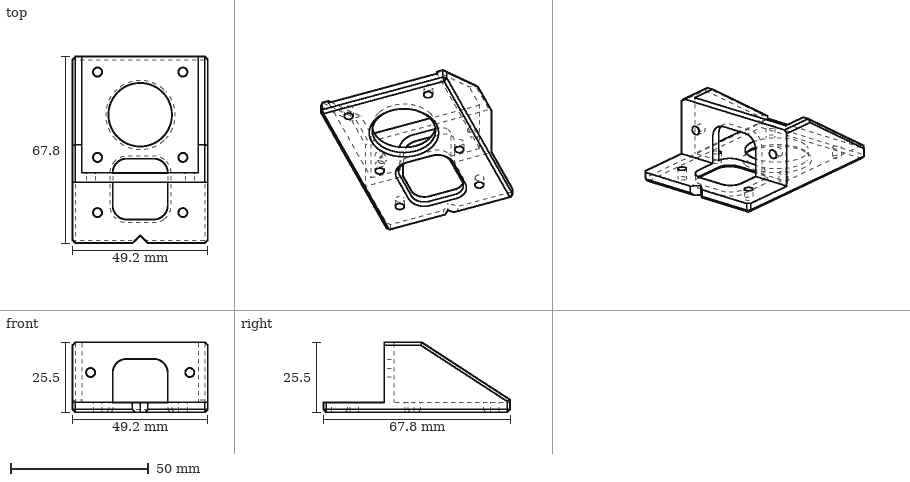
import cadquery as cq

motor_side = 42.3
motor_bore = 23.0
motor_hole_spacing = 31.0
screw_diameter = 3.2

width = 49.2
length = 67.8
height = 25.5
base_thickness = 3.7
wall_thickness = (width - motor_side) / 2
flat_top_start = 32.05
rear_height = 4.65
edge_chamfer = 1.1

window_width = 19.9
window_radius = 5.0
window_top = 19.4
window_inside = 8.6
window_outside = 13.4

wall_hole_spacing = 36.0
wall_hole_height = 14.5
front_hole_inset = 11.1
notch_depth = 2.8

rear_y = motor_side / 2
front_y = rear_y - length
wall_inner_y = -motor_side / 2
wall_outer_y = wall_inner_y - wall_thickness
slope_top_y = rear_y - flat_top_start


def outer_body():
    """Side profile extruded over the full width, outer edges chamfered together."""
    profile = [
        (front_y, 0),
        (rear_y, 0),
        (rear_y, rear_height),
        (slope_top_y, height),
        (wall_outer_y, height),
        (wall_outer_y, base_thickness),
        (front_y, base_thickness),
    ]
    body = cq.Workplane("YZ").polyline(profile).close().extrude(width / 2, both=True)

    bottom_rim = body.faces("<Z").edges()
    end_corners = body.edges("|Z and (<Y or >Y)")
    wall_tops = body.faces(">Z").edges("|Y")
    slopes = body.edges("#X").edges("not(|Y or |Z)")
    return bottom_rim.add(end_corners).add(wall_tops).add(slopes).chamfer(edge_chamfer)


def motor_seat():
    """Space above the base, between the side walls, open at the top and the rear."""
    return cq.Workplane("XY").box(
        motor_side, motor_side, height, centered=(True, True, False)
    ).translate((0, 0, base_thickness))


def flare_underside(opening):
    """Widen the lower end of a base opening cutter, for a 45 degree chamfer around its rim."""
    return (
        opening.faces("<Z")
        .wires()
        .toPending()
        .workplane(invert=True)
        .offset2D(edge_chamfer)
        .extrude(edge_chamfer, taper=45)
    )


def motor_bore_hole():
    """Round opening in the base for the motor boss, flared at the underside."""
    bore = cq.Workplane("XY").circle(motor_bore / 2).extrude(base_thickness)
    return flare_underside(bore)


def base_screw_holes():
    """Screw holes through the base."""
    half = motor_hole_spacing / 2
    rows = (half, -half, front_y + front_hole_inset)
    screws = [(x, y) for x in (-half, half) for y in rows]
    return cq.Workplane("XY").pushPoints(screws).circle(screw_diameter / 2).extrude(base_thickness)


def wall_holes():
    """Screw holes through the front wall."""
    half = wall_hole_spacing / 2
    return (
        cq.Workplane("XZ", origin=(0, wall_inner_y, 0))
        .pushPoints([(-half, wall_hole_height), (half, wall_hole_height)])
        .circle(screw_diameter / 2)
        .extrude(wall_thickness)
    )


def window():
    """Rounded opening in the base joined to a rounded-top opening in the wall."""
    base_opening = (
        cq.Workplane("XY")
        .center(0, wall_outer_y + (window_inside - window_outside) / 2)
        .rect(window_width, window_inside + window_outside)
        .extrude(base_thickness)
        .edges("|Z")
        .fillet(window_radius)
    )
    wall_opening = (
        cq.Workplane("XZ", origin=(0, wall_inner_y, 0))
        .center(0, window_top / 2)
        .rect(window_width, window_top)
        .extrude(wall_thickness)
        .edges("|Y and >Z")
        .fillet(window_radius)
    )
    return flare_underside(base_opening).union(wall_opening)


def centring_notch():
    """90 degree V in the front edge of the base."""
    corners = [(-notch_depth, front_y), (notch_depth, front_y), (0, front_y + notch_depth)]
    return cq.Workplane("XY").polyline(corners).close().extrude(base_thickness)


result = (
    outer_body()
    .cut(motor_seat())
    .cut(motor_bore_hole())
    .cut(base_screw_holes())
    .cut(wall_holes())
    .cut(window())
    .cut(centring_notch())
)